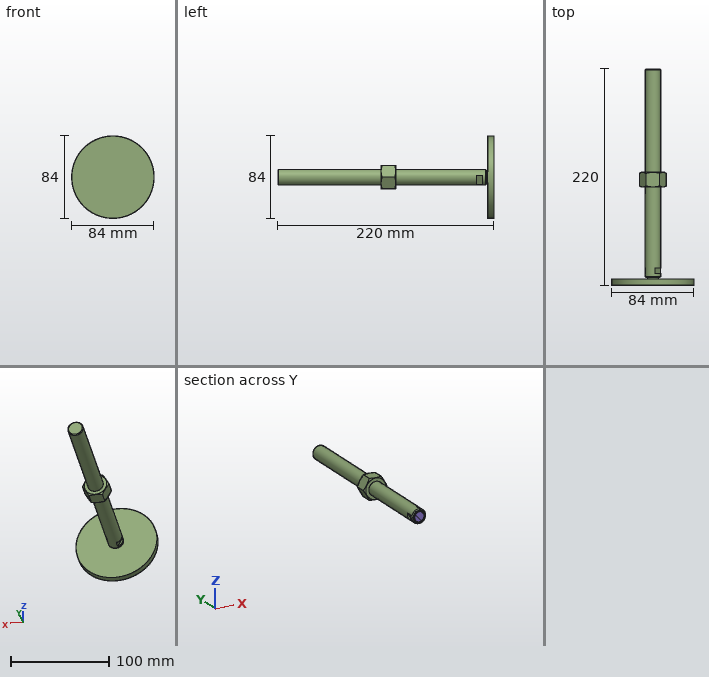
import cadquery as cq
import math

total_length = 220.0

plate_diameter = 84.0
plate_thickness = 6.5

rod_radius = 16.0 / 2
rod_tip_chamfer = 0.9
neck_radius = 5.7
neck_length = 1.3
foot_chamfer_length = 0.9
foot_end_radius = 6.8

flats_across = 11.7
flats_length = 6.0
flats_start = plate_thickness + 5.3
flats_angle = 30.0

nut_across_flats = 24.0
nut_height = 15.2
nut_start = plate_thickness + 93.3
nut_corner_radius = nut_across_flats / 2 / math.cos(math.radians(30))
nut_face_radius = 11.7
nut_chamfer_angle = 30.0
nut_corner_drop = (nut_corner_radius - nut_face_radius) * math.tan(math.radians(nut_chamfer_angle))


def cross_section(y):
    """Workplane square to the rod axis at height y, extruding towards +Y."""
    return cq.Workplane(cq.Plane(origin=(0, y, 0), xDir=(1, 0, 0), normal=(0, 1, 0)))


def revolve_about_axis(profile_points):
    """Turn a closed (radius, y) profile about the Y axis."""
    profile = cq.Workplane("XY").polyline(profile_points).close()
    return profile.revolve(360, (0, 0, 0), (0, 1, 0))


def make_base_plate():
    return cross_section(0).circle(plate_diameter / 2).extrude(plate_thickness)


def make_flats_cutter():
    """Material outside the two parallel wrench flats."""
    stock_size = 4 * rod_radius
    stock = cross_section(flats_start).rect(stock_size, stock_size).extrude(flats_length)
    core = cross_section(flats_start).rect(flats_across, stock_size).extrude(flats_length)
    return stock.cut(core).rotate((0, 0, 0), (0, 1, 0), -flats_angle)


def make_rod():
    """Rod with a narrow neck standing on the plate and a chamfer at each end."""
    foot_end = plate_thickness + neck_length
    blank = revolve_about_axis([
        (0, plate_thickness),
        (neck_radius, plate_thickness),
        (neck_radius, foot_end),
        (foot_end_radius, foot_end),
        (rod_radius, foot_end + foot_chamfer_length),
        (rod_radius, total_length - rod_tip_chamfer),
        (rod_radius - rod_tip_chamfer, total_length),
        (0, total_length),
    ])
    return blank.cut(make_flats_cutter())


def make_nut():
    """Hexagon with corners on the X sides, its corners turned off at both faces."""
    nut_end = nut_start + nut_height
    hexagon = cross_section(nut_start).polygon(6, 2 * nut_corner_radius).extrude(nut_height)
    turned_envelope = revolve_about_axis([
        (0, nut_start),
        (nut_face_radius, nut_start),
        (nut_corner_radius, nut_start + nut_corner_drop),
        (nut_corner_radius, nut_end - nut_corner_drop),
        (nut_face_radius, nut_end),
        (0, nut_end),
    ])
    bore = cross_section(nut_start).circle(rod_radius).extrude(nut_height)
    return hexagon.intersect(turned_envelope).cut(bore)


base_plate = make_base_plate()
rod = make_rod()
nut = make_nut()

result = cq.Compound.makeCompound([base_plate.val(), rod.solids().val(), nut.solids().val()])